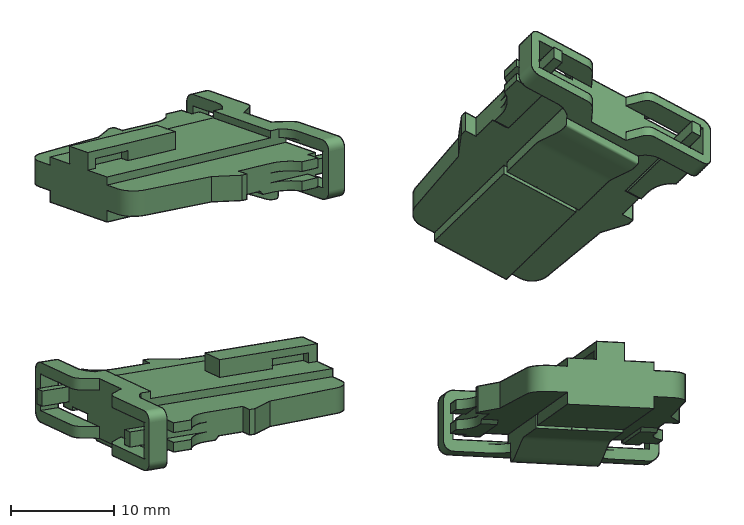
import cadquery as cq
import math


slab_top = 1.48
slab_bottom = -1.1
slab_rear = 22.5
neck_half = 8.82
front_half = 7.78
waist_half = 8.57
waist_y = 9.6
wing_half = 10.1
wing_tip_y = 12.16
wing_rear = 12.8
corner_radius = 2.0

finger_half = 10.35
finger_rear = 21.5
finger_front = 19.5
finger_root_radius = 3.0
fork_gap = 1.0
finger_pad_inner = 7.17
finger_pad_front = 15.5
finger_pad_chamfer = slab_top + slab_bottom

rail_half = 4.34
rail_top = 2.3
rail_bottom = -2.27
rail_lower_length = 11.3

frame_width = 21.6
frame_height = 6.02
frame_front = 22.5
frame_rear = 24.5
frame_radius = 1.0
window_half = 9.85
window_height = 3.67

arch_front = 20.5
arch_thickness = 0.9
arch_inner = frame_height / 2 - arch_thickness
arch_radius = 2.5
arch_start_half = 6.25
notch_floor_half = 2.07
notch_rim_half = 3.4
notch_radius = 1.25
edge_margin = 0.03

latch_front = 11.8
latch_bottom = -2.45
latch_ramp_front = 16.78
latch_tip = -4.03
latch_tip_front = 20.5
latch_foot_radius = 2.0
latch_tip_radius = 3.0
latch_rear_radius = 0.25
latch_relief_width = 1.53

key_half = 1.4
key_length = 11.0
key_top = 4.08
key_recess_front = 1.0
key_recess_rear = 5.05
key_recess_top = 3.3
key_recess_depth = 1.0

peg_width = 1.0
peg_height = 1.53
peg_rear = 25.5


def box(x_min, x_max, y_min, y_max, z_min, z_max):
    """Axis-aligned block given by its limits."""
    return cq.Workplane("XY").box(
        x_max - x_min, y_max - y_min, z_max - z_min, centered=False
    ).translate((x_min, y_min, z_min))


def with_mirror(half):
    """Join a half or one-sided feature with its mirror image across X = 0."""
    return half.union(half.mirror("YZ"))


def finger_root_y():
    """Y where the finger's concave arc runs tangent into the neck."""
    overhang = finger_half - neck_half
    return finger_front - math.sqrt(overhang * (2 * finger_root_radius - overhang))


def make_finger_outline():
    """Right-hand finger, reaching inward to the inner side of its pad, as a closed outline."""
    return (
        cq.Workplane("XY")
        .moveTo(finger_pad_inner, finger_rear)
        .lineTo(finger_half, finger_rear)
        .lineTo(finger_half, finger_front)
        .radiusArc((neck_half, finger_root_y()), -finger_root_radius)
        .lineTo(finger_pad_inner, finger_root_y())
        .close()
    )


def make_slab():
    """Tapered plate with rounded front corners, pointed wings and a plain neck."""
    right_edge = [
        (front_half, 0),
        (waist_half, waist_y),
        (wing_half, wing_tip_y),
        (wing_half, wing_rear),
        (neck_half, wing_rear),
        (neck_half, slab_rear),
    ]
    left_edge = [(-x, y) for x, y in reversed(right_edge)]
    slab = (
        cq.Workplane("XY", origin=(0, 0, slab_bottom))
        .polyline(right_edge + left_edge)
        .close()
        .extrude(slab_top - slab_bottom)
    )
    return slab.edges("|Z and <Y").fillet(corner_radius)


def make_fingers():
    """Two forked lugs, with pads that thicken the slab downward beside them."""
    lug = make_finger_outline().extrude(2 * slab_top).translate((0, 0, -slab_top))
    fork = box(neck_half, finger_half, 0, finger_rear, -fork_gap / 2, fork_gap / 2)
    pad = (
        cq.Workplane("YZ", origin=(finger_pad_inner, 0, 0))
        .polyline([
            (finger_pad_front, slab_bottom),
            (finger_pad_front + finger_pad_chamfer, -slab_top),
            (slab_rear, -slab_top),
            (slab_rear, slab_bottom),
        ])
        .close()
        .extrude(neck_half - finger_pad_inner)
    )
    return with_mirror(lug.cut(fork).union(pad))


def make_rail():
    """Central rail: full length above the slab, ending short of the latch below it."""
    upper = box(-rail_half, rail_half, 0, slab_rear, slab_bottom, rail_top)
    lower = box(-rail_half, rail_half, 0, rail_lower_length, rail_bottom, slab_bottom)
    return upper.union(lower)


def make_latch():
    """Hooked block under the rear of the rail, with a ramp to its tip and a sloped front relief."""
    block = (
        cq.Workplane("YZ", origin=(-rail_half, 0, 0))
        .moveTo(latch_front, slab_bottom)
        .lineTo(latch_front, latch_bottom)
        .lineTo(latch_ramp_front, latch_bottom)
        .lineTo(latch_tip_front, latch_tip)
        .lineTo(finger_rear, latch_tip)
        .lineTo(finger_rear, -arch_inner)
        .lineTo(slab_rear, -arch_inner)
        .lineTo(slab_rear, slab_bottom)
        .close()
        .extrude(2 * rail_half)
    )
    rounded_corners = [
        (latch_ramp_front, latch_bottom, latch_foot_radius),
        (latch_tip_front, latch_tip, latch_tip_radius),
        (finger_rear, latch_tip, latch_rear_radius),
    ]
    for y, z, radius in rounded_corners:
        block = block.edges(cq.NearestToPointSelector((0, y, z))).fillet(radius)
    relief_height = slab_bottom - latch_bottom
    relief = (
        cq.Workplane("YZ", origin=(-latch_relief_width / 2, 0, 0))
        .polyline([
            (latch_front, latch_bottom),
            (latch_front + relief_height, slab_bottom),
            (latch_front, slab_bottom),
        ])
        .close()
        .extrude(latch_relief_width)
    )
    return block.cut(relief)


def make_notch():
    """Trapezoidal notch in the rear of the frame between its flared arms."""
    return (
        cq.Workplane("XY", origin=(0, 0, -frame_height / 2))
        .polyline([
            (-notch_floor_half, frame_front),
            (notch_floor_half, frame_front),
            (notch_rim_half, frame_rear),
            (-notch_rim_half, frame_rear),
        ])
        .close()
        .extrude(frame_height)
    )


def make_frame():
    """Rounded rectangular ring across the rear, notched in the middle with rounded rims."""
    half_width = frame_width / 2
    half_height = frame_height / 2
    ring = box(-half_width, half_width, frame_front, frame_rear, -half_height, half_height)
    ring = ring.edges("|Y").fillet(frame_radius)
    window = box(-window_half, window_half, frame_front, frame_rear, -window_height / 2, window_height / 2)
    ring = ring.cut(window).cut(make_notch())
    rim_edges = cq.selectors.BoxSelector(
        (-notch_rim_half - edge_margin, frame_rear - edge_margin, -half_height),
        (notch_rim_half + edge_margin, frame_rear + edge_margin, half_height),
    )
    return ring.edges("|Z").edges(rim_edges).fillet(notch_radius)


def make_arches():
    """Upper and lower plates that flare from the rail into the frame bars."""
    flare = arch_start_half - rail_half
    arc_drop = arch_radius - math.sqrt(arch_radius**2 - flare**2)
    arc_end = frame_front - arc_drop
    upper = (
        cq.Workplane("XY", origin=(0, 0, arch_inner))
        .moveTo(-rail_half, arch_front)
        .lineTo(rail_half, arch_front)
        .lineTo(rail_half, arc_end)
        .radiusArc((arch_start_half, frame_front), arch_radius)
        .lineTo(-arch_start_half, frame_front)
        .radiusArc((-rail_half, arc_end), arch_radius)
        .close()
        .extrude(arch_thickness)
    )
    return upper.union(upper.mirror("XY"))


def make_key():
    """Upright key on the front of the rail with a recess at the foot of each side."""
    key = box(-key_half, key_half, 0, key_length, rail_top, key_top)
    recess_floor = key_half - key_recess_depth
    recess = box(recess_floor, key_half, key_recess_front, key_recess_rear, rail_top, key_recess_top)
    return key.cut(with_mirror(recess))


def make_pegs():
    """Two pegs running back from the slab through the frame window."""
    peg = box(neck_half - peg_width, neck_half, slab_rear, peg_rear, -peg_height / 2, peg_height / 2)
    return with_mirror(peg)


result = (
    make_slab()
    .union(make_fingers())
    .union(make_rail())
    .union(make_latch())
    .union(make_arches())
    .union(make_frame())
    .union(make_key())
    .union(make_pegs())
)